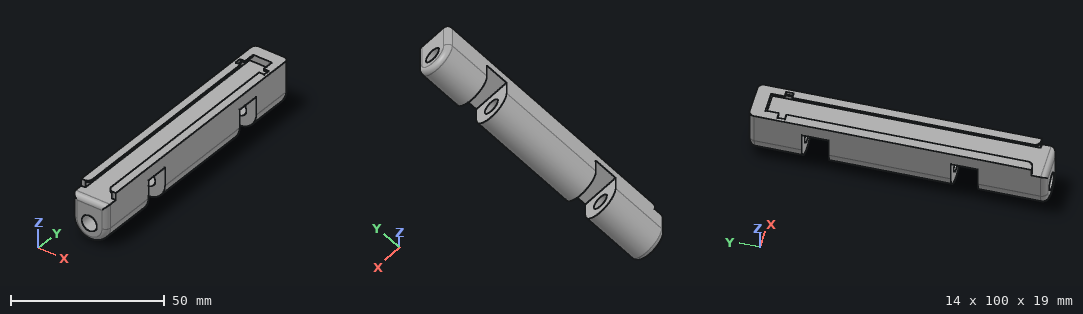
import cadquery as cq

width = 14.0
length = 100.0
height = 19.0

bottom_radius = width / 2
end_fillet = 2.0
bore_diameter = 6.0

channel_depth = 2.75
channel_width = 7.5
undercut_width = 10.5
lip_thickness = 0.65
back_wall = 5.0
front_step = 5.0
lip_corner_radius = 2.0

relief_width = 11.5
relief_length = 2.5
relief_from_back = 9.5
relief_depth = 1.25

gap_length = 9.0
gap_top = 14.0
gap_distances_from_back = (18.0, 68.0)

front_y = -length / 2
back_y = length / 2
floor_z = height - channel_depth
axis_z = bottom_radius
step_y = front_y + front_step
channel_back_y = back_y - back_wall


def box(x_size, y_min, y_max, z_min, z_max):
    """Box centred on X, spanning the given Y and Z ranges."""
    return (
        cq.Workplane("XY")
        .box(x_size, y_max - y_min, z_max - z_min, centered=(True, False, False))
        .translate((0, y_min, z_min))
    )


def make_body():
    """Bar with a half-round bottom, a lowered front end and rounded ends."""
    profile = (
        cq.Workplane("XZ", origin=(0, back_y, 0))
        .moveTo(-width / 2, height)
        .lineTo(-width / 2, axis_z)
        .threePointArc((0, 0), (width / 2, axis_z))
        .lineTo(width / 2, height)
        .close()
    )
    body = profile.extrude(length)
    body = body.cut(box(width, front_y, step_y, floor_z, height))
    body = body.faces("<Y").edges().fillet(end_fillet)
    top_edge = cq.selectors.StringSyntaxSelector(">Z")
    back_edges = body.faces(">Y").edges(cq.selectors.InverseSelector(top_edge))
    return back_edges.fillet(end_fillet)


def cut_channel(body):
    """Open channel whose front corners are rounded, with an undercut below the lips."""
    body = body.cut(box(channel_width, step_y, channel_back_y, floor_z, height))
    corner_margin = lip_corner_radius / 2
    channel_corners = cq.selectors.BoxSelector(
        (-channel_width / 2 - corner_margin, step_y - corner_margin, floor_z),
        (channel_width / 2 + corner_margin, step_y + corner_margin, height),
    )
    body = body.edges("|Z").edges(channel_corners).fillet(lip_corner_radius)
    return body.cut(box(undercut_width, step_y, channel_back_y, floor_z, height - lip_thickness))


def cut_lip_relief(body):
    """Rectangular relief through both lips and into the channel walls below."""
    relief_back_y = back_y - relief_from_back
    return body.cut(
        box(relief_width, relief_back_y - relief_length, relief_back_y, height - relief_depth, height)
    )


def cut_gaps(body):
    """Full-width gaps that interrupt the lower part of the bar."""
    for distance in gap_distances_from_back:
        gap_back_y = back_y - distance
        body = body.cut(box(width, gap_back_y - gap_length, gap_back_y, 0, gap_top))
    return body


def cut_bore(body):
    """Round bore along the whole bar, on the axis of the half-round bottom."""
    bore = (
        cq.Workplane("XZ", origin=(0, back_y, axis_z))
        .circle(bore_diameter / 2)
        .extrude(length)
    )
    return body.cut(bore)


result = make_body()
result = cut_channel(result)
result = cut_lip_relief(result)
result = cut_gaps(result)
result = cut_bore(result)